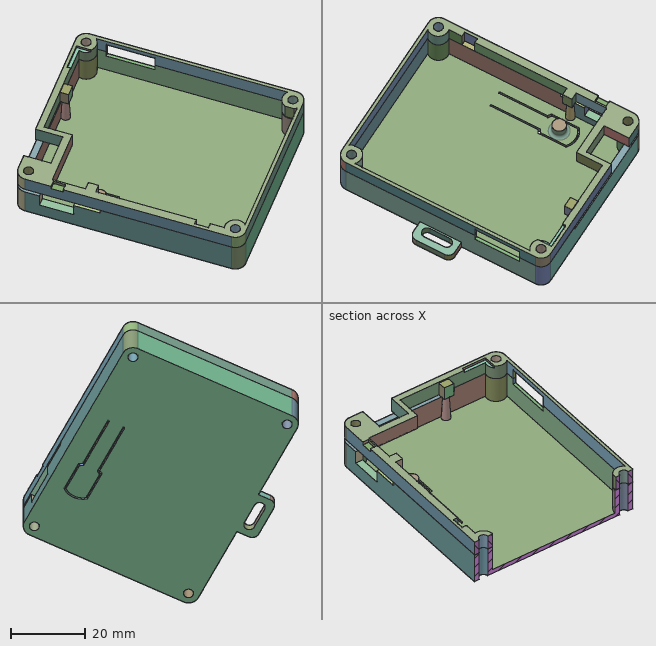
import cadquery as cq
import math

length = 65.2
width = 52.6
height = 14.0
frame_height = 4.5
tray_height = height - frame_height

thin_wall = 1.0
left_wall = 1.95
front_wall = 2.35
floor_thickness = 1.5

corner_radius = 3.0
screw_hole_diameter = 2.7

window_left = 8.0
window_length = 13.95
window_bottom = 7.55
window_top = 12.5

eyelet_length = 13.0
eyelet_reach = 5.6
eyelet_thickness = 2.5
eyelet_corner_radius = 2.0
eyelet_slot_length = 9.1
eyelet_slot_width = 3.0
eyelet_slot_gap = 0.5

rim_step_depth = 1.2
rim_step_along_front = 24.5
rim_step_along_side = 36.65

connector_left = 7.2
connector_length = 9.8
connector_bottom = 4.4

post_base_diameter = 2.7
post_top_diameter = 1.75
front_post_x = 21.0
side_post_y = 33.0
post_inset = corner_radius

button_x = 21.3
button_y = 8.4
button_diameter = 4.0
button_top = 4.55
button_fillet = 1.0
arm_end_x = 41.45
arm_slit = 0.45
head_radius = 5.0
head_half_width = 3.05
neck_half_width = 2.1
head_end = 4.05
taper_length = 0.65

block_length = 10.05
block_width = 18.5
recess_length = 7.8
recess_front = 7.5
recess_width = 9.5

front_tab_length = 2.95
front_tab_end = 4.6
side_tab_width = 3.2
side_tab_end = 4.45
side_tab_drop = 0.4

outer_notch_depth = 1.0
side_notch_depth = 0.7
outer_notch_left = 10.5
outer_notch_length = 3.45
outer_notch_width = 1.9
inner_notch_left = 51.25
inner_notch_length = 4.0
inner_notch_wall = 0.9
side_notch_front = 39.9
side_notch_width = 7.6
boss_flat_y = 46.9


def block(x0, x1, y0, y1, z0, z1):
    """Box between two corners."""
    return cq.Workplane("XY").box(x1 - x0, y1 - y0, z1 - z0, centered=False).translate((x0, y0, z0))


def cylinder(x, y, diameter, z0, z1):
    """Upright cylinder."""
    return cq.Workplane("XY").workplane(offset=z0).center(x, y).circle(diameter / 2).extrude(z1 - z0)


def rounded_box(z0, z1):
    """Full outline with rounded corners."""
    return block(0, length, 0, width, z0, z1).edges("|Z").fillet(corner_radius)


def cavity(z0, z1):
    """Room inside the walls."""
    return block(left_wall, length - thin_wall, front_wall, width - thin_wall, z0, z1)


front_left = (corner_radius, corner_radius)
front_right = (length - corner_radius, corner_radius)
back_left = (corner_radius, width - corner_radius)
back_right = (length - corner_radius, width - corner_radius)
screw_corners = [front_left, front_right, back_left, back_right]


def screw_bosses(z0, z1):
    """Bosses concentric with the rounded corners."""
    bosses = cq.Workplane("XY")
    for x, y in screw_corners:
        bosses = bosses.add(cylinder(x, y, 2 * corner_radius, z0, z1))
    return bosses.combine()


def cut_screw_holes(body):
    for x, y in screw_corners:
        body = body.cut(cylinder(x, y, screw_hole_diameter, 0, height))
    return body


def back_window():
    right = window_left + window_length
    return block(window_left, right, width - thin_wall, width, window_bottom, window_top)


def eyelet():
    """Flat lug with a slot for a strap, centred on the back wall."""
    middle = length / 2
    plate = block(
        middle - eyelet_length / 2, middle + eyelet_length / 2,
        width - thin_wall, width + eyelet_reach, 0, eyelet_thickness,
    ).edges("|Z and >Y").fillet(eyelet_corner_radius)
    slot_y = width + eyelet_slot_gap + eyelet_slot_width / 2
    slot = (
        cq.Workplane("XY").center(middle, slot_y)
        .slot2D(eyelet_slot_length, eyelet_slot_width).extrude(eyelet_thickness)
    )
    return plate.cut(slot)


def arm_outline(margin):
    """Spring arm: rounded head around the button, tapering to a straight neck."""
    radius = head_radius + margin
    head_y = head_half_width + margin
    neck_y = neck_half_width + margin
    head_x = -math.sqrt(radius ** 2 - head_y ** 2)
    taper_x = head_end + margin
    neck_x = taper_x + taper_length
    end_x = arm_end_x - button_x
    return (
        cq.Workplane("XY").center(button_x, button_y)
        .moveTo(end_x, neck_y).lineTo(neck_x, neck_y).lineTo(taper_x, head_y).lineTo(head_x, head_y)
        .threePointArc((-radius, 0), (head_x, -head_y))
        .lineTo(taper_x, -head_y).lineTo(neck_x, -neck_y).lineTo(end_x, -neck_y).close()
        .extrude(floor_thickness)
    )


def button():
    """Button with a concave fillet where it meets the floor."""
    radius = button_diameter / 2
    bend = button_fillet * (1 - math.sqrt(0.5))
    return (
        cq.Workplane("XZ")
        .lineTo(radius + button_fillet, 0).lineTo(radius + button_fillet, floor_thickness)
        .threePointArc((radius + bend, floor_thickness + bend), (radius, floor_thickness + button_fillet))
        .lineTo(radius, button_top).lineTo(0, button_top).close()
        .revolve(360, (0, 0, 0), (0, 1, 0))
        .translate((button_x, button_y, 0))
    )


def rim_step():
    """Lowered rim that runs around the front left corner, boss included."""
    bottom = tray_height - rim_step_depth
    along_front = block(0, rim_step_along_front, 0, front_wall, bottom, tray_height)
    along_side = block(0, left_wall, 0, rim_step_along_side, bottom, tray_height)
    corner = block(0, 2 * corner_radius, 0, 2 * corner_radius, bottom, tray_height)
    return along_front.union(along_side).union(corner)


def post(x, y):
    """Post that narrows from the floor to the underside of a tab."""
    return (
        cq.Workplane("XY").workplane(offset=floor_thickness).center(x, y).circle(post_base_diameter / 2)
        .workplane(offset=tray_height - floor_thickness).circle(post_top_diameter / 2).loft()
    )


def make_tray():
    tray = rounded_box(0, tray_height).cut(cavity(floor_thickness, tray_height))
    tray = tray.union(screw_bosses(0, tray_height)).union(eyelet())
    tray = tray.cut(rim_step())
    tray = tray.cut(block(
        connector_left, connector_left + connector_length, 0, front_wall, connector_bottom, tray_height,
    ))
    tray = tray.cut(back_window())
    tray = tray.cut(arm_outline(arm_slit).cut(arm_outline(0)))
    tray = tray.union(button())
    for x, y in [(front_post_x, post_inset), (post_inset, side_post_y)]:
        tray = tray.union(post(x, y))
    return cut_screw_holes(tray)


def frame_tabs():
    front_tab = block(
        front_post_x - front_tab_length / 2, front_post_x + front_tab_length / 2,
        0, front_tab_end, tray_height, height,
    )
    side_tab = block(
        left_wall, side_tab_end,
        side_post_y - side_tab_width / 2, side_post_y + side_tab_width / 2,
        tray_height, height - side_tab_drop,
    )
    return front_tab.union(side_tab)


def frame_notches():
    outer_notch = block(
        outer_notch_left, outer_notch_left + outer_notch_length,
        0, outer_notch_width, height - outer_notch_depth, height,
    )
    inner_notch = block(
        inner_notch_left, inner_notch_left + inner_notch_length,
        inner_notch_wall, front_wall, tray_height, height,
    )
    side_notch = block(
        thin_wall, 2 * corner_radius,
        side_notch_front, side_notch_front + side_notch_width,
        height - side_notch_depth, height,
    )
    return outer_notch.union(inner_notch).union(side_notch)


def make_frame():
    frame = rounded_box(tray_height, height).cut(cavity(tray_height, height))
    frame = frame.union(screw_bosses(tray_height, height))
    frame = frame.cut(block(
        length - 2 * corner_radius, length - thin_wall,
        boss_flat_y - corner_radius, boss_flat_y, tray_height, height,
    ))
    corner_block = block(0, block_length, 0, block_width, tray_height, height)
    frame = frame.union(corner_block.intersect(rounded_box(tray_height, height)))
    frame = frame.union(frame_tabs())
    frame = frame.cut(block(
        0, recess_length, recess_front, recess_front + recess_width, tray_height, height,
    ))
    frame = frame.cut(frame_notches()).cut(back_window())
    return cut_screw_holes(frame)


tray = make_tray()
frame = make_frame()

result = cq.Compound.makeCompound([tray.val(), frame.val()])